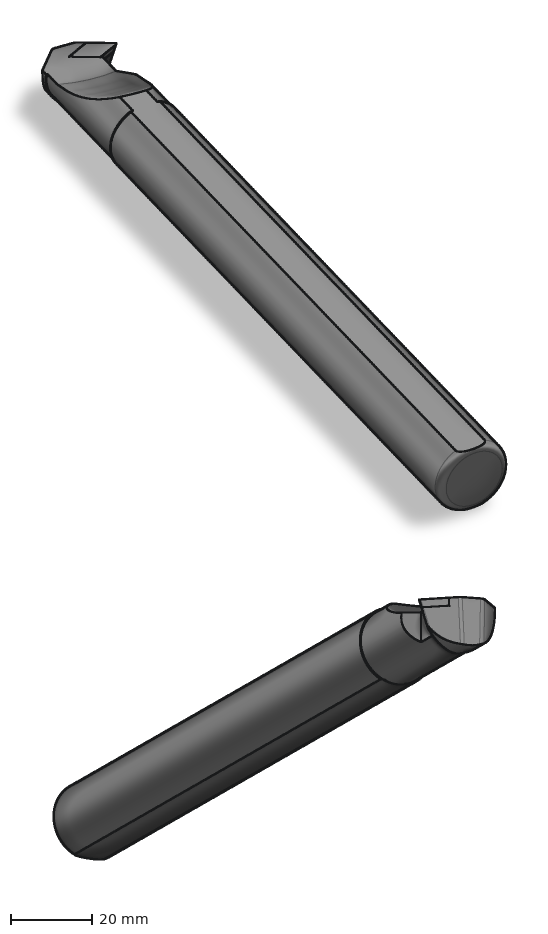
import cadquery as cq
import math

overall_length = 199.76
shank_radius = 10.0
flat_height = 9.1
end_fillet = 2.0

neck_radius = 9.75
neck_start = 7.9
neck_end = 40.0

rake_angle = 5.0
tip_x = 4.65
tip_y = 13.03
tip_z = 0.0

scoop_axis_x = -22.0
scoop_axis_y = 1.0
scoop_start = 15.2
scoop_middle = (25.2, 2.7)
scoop_end = (34.9, 8.4)

relief_y = 6.6
relief_flat_end = 14.6
relief_slope_end = (19.1, 9.75)

insert_half_length = 7.0
insert_half_width = 3.42
insert_thickness = 2.0
tip_fillet = 0.4

clearance_angle = 6.5
head_back = 8.7
head_depth = 14.0
blank_back = 10.0
nose_bevel_y = -3.0
nose_fillet = 2.2
bore_radius = 11.3
bore_y = 1.3
bore_z = 0.45

clear_size = 60.0


def bar(radius, start, end):
    return cq.Workplane("YZ").workplane(offset=start).circle(radius).extrude(end - start)


def rake_plane():
    """Plane of the rake face: local x along X, local y across the bar, origin level with the tip."""
    return cq.Workplane("XY").transformed(
        offset=(0, tip_y, tip_z), rotate=(-rake_angle, 0, 0)
    )


def across(y):
    """Distance in the rake plane from the tip to the position y across the bar."""
    return (y - tip_y) / math.cos(math.radians(rake_angle))


def flat_block(bottom):
    """Block from the bottom height up to the flat on the top."""
    return cq.Workplane("XY").box(
        2 * overall_length, clear_size, flat_height - bottom, centered=(True, True, False)
    ).translate((0, 0, bottom))


def make_shank():
    shank = bar(shank_radius, neck_end, overall_length).faces(">X").edges().fillet(end_fillet)
    return shank.intersect(flat_block(-flat_height))


def make_neck():
    neck = bar(neck_radius, neck_start, neck_end).intersect(flat_block(-clear_size))
    relief = (
        cq.Workplane("XY")
        .moveTo(0, relief_y)
        .lineTo(relief_flat_end, relief_y)
        .lineTo(*relief_slope_end)
        .lineTo(relief_slope_end[0], clear_size)
        .lineTo(0, clear_size)
        .close()
        .extrude(clear_size, both=True)
    )
    return neck.cut(relief)


def make_scoop():
    """Cutter above the rake face, turned about an axis square to the rake face."""
    end_x, end_z = scoop_end
    profile = (
        cq.Workplane("XZ", origin=(0, scoop_axis_y - tip_y, 0))
        .moveTo(scoop_axis_x, 0)
        .lineTo(scoop_start, 0)
        .threePointArc(scoop_middle, scoop_end)
        .lineTo(end_x, clear_size)
        .lineTo(scoop_axis_x, clear_size)
        .close()
        .revolve(360, (scoop_axis_x, 0), (scoop_axis_x, 1))
    )
    return profile.rotate((0, 0, 0), (1, 0, 0), -rake_angle).translate((0, tip_y, tip_z))


def make_insert_blank():
    """Rhombic plate with a sharp tip, which is also the shape of its seat."""
    return (
        rake_plane()
        .polyline([
            (tip_x, 0),
            (tip_x - insert_half_width, -insert_half_length),
            (tip_x, -2 * insert_half_length),
            (tip_x + insert_half_width, -insert_half_length),
        ])
        .close()
        .extrude(-insert_thickness, taper=clearance_angle)
    )


def make_head():
    """Head with the insert included: both edges of the tip run on to the front and to the back."""
    edge_slope = insert_half_length / insert_half_width
    bevel_end_y = nose_bevel_y - blank_back
    blank = (
        rake_plane()
        .polyline([
            (tip_x, 0),
            (0, -tip_x * edge_slope),
            (0, across(nose_bevel_y)),
            (blank_back, across(bevel_end_y)),
            (blank_back, -(blank_back - tip_x) * edge_slope),
        ])
        .close()
        .extrude(-head_depth, taper=clearance_angle)
    )
    low = -0.75 * head_depth
    high = -0.25 * head_depth
    nose_edges = cq.selectors.BoxSelector((0, -tip_y, low), (tip_x / 2, tip_y, high))
    tip_edge = cq.selectors.BoxSelector((0, tip_y / 2, low), (blank_back, tip_y, high))
    blank = blank.edges(nose_edges).fillet(nose_fillet)
    blank = blank.edges(tip_edge).fillet(tip_fillet)
    bore = cq.Workplane("YZ").center(bore_y, bore_z).circle(bore_radius).extrude(head_back)
    return blank.intersect(bore)


head = make_head()
insert_blank = make_insert_blank()
insert = head.intersect(insert_blank)
holder = make_neck().union(make_shank()).cut(make_scoop()).union(head).cut(insert_blank)

result = cq.Compound.makeCompound([holder.val(), insert.val()])